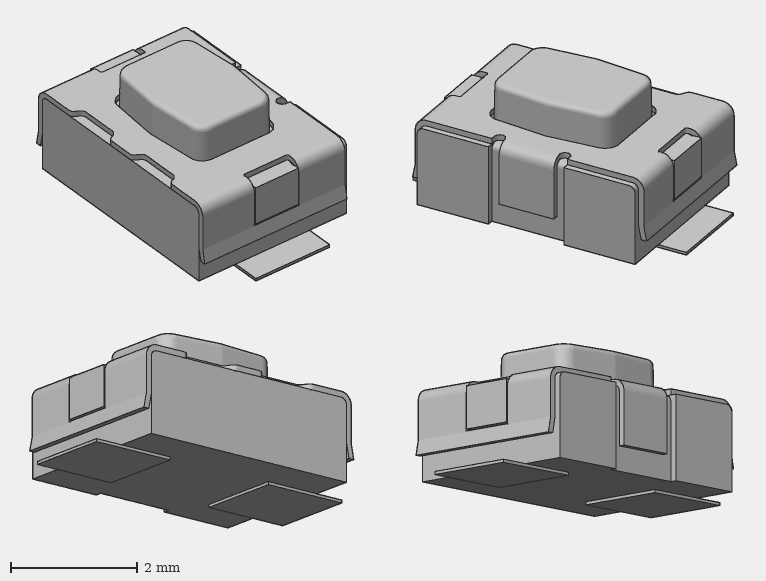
import cadquery as cq
import math

BASE_WIDTH = 3.98
BASE_DEPTH = 3.0
BASE_HEIGHT = 1.4
EDGE_RADIUS = 0.11
BACK_CHANNEL_WIDTH = 1.38
BACK_CHANNEL_DEPTH = 0.11
LATCH_WIDTH = 0.87
LATCH_REACH = 0.11
LATCH_BOTTOM = 0.7

SHEET = 0.1
LEG_KINK_Z = 0.655
LEG_END_Z = 0.41
LEG_FLARE = 0.05
WINDOW_WIDTH = 0.9
WINDOW_BOTTOM = 0.67
WINDOW_INNER_X = 1.805
WINDOW_CORNER_RADIUS = 0.03
BACK_TAB_WIDTH = 1.0
RELIEF_DEPTH = 0.18
NOTCH_SPACING = 1.54
NOTCH_DEPTH = 0.18
NOTCH_FLOOR_WIDTH = 0.78
NOTCH_SIDE_ANGLE = 60
NOTCH_RADIUS = 0.1
OPENING_CLEARANCE = 0.048

BUTTON_HALF_WIDTH = 1.108
BUTTON_HALF_DEPTH = 0.848
BUTTON_SIDE_ANGLE = 5
BUTTON_CORNER_RADIUS = 0.25
BUTTON_DRAFT = 1
BUTTON_TOP = 2.1
BUTTON_TOP_RADIUS = 0.1

TERMINAL_LENGTH = 1.5
TERMINAL_WIDTH = 1.5
TERMINAL_THICKNESS = 0.05
TERMINAL_OUTER_X = 2.5

SIDES = (-1, 1)
base_half_width = BASE_WIDTH / 2
base_front_y = -BASE_DEPTH / 2
base_back_y = BASE_DEPTH / 2
cover_top = BASE_HEIGHT + SHEET
channel_floor_y = base_back_y - BACK_CHANNEL_DEPTH
bend_radius = EDGE_RADIUS + SHEET
leg_outer_x = base_half_width + SHEET


def box(x_range, y_range, z_range):
    """Block between the given limits."""
    (x0, x1), (y0, y1), (z0, z1) = x_range, y_range, z_range
    return cq.Workplane("XY").box(x1 - x0, y1 - y0, z1 - z0, centered=False).translate((x0, y0, z0))


def six_sided_prism(clearance, bottom_z, height, draft=0):
    """Rounded prism with straight left and right sides and shallow peaks at front and back."""
    half_width = BUTTON_HALF_WIDTH + clearance
    peak_y = BUTTON_HALF_DEPTH + clearance
    corner_y = peak_y - half_width * math.tan(math.radians(BUTTON_SIDE_ANGLE))
    outline = [
        (half_width, -corner_y),
        (half_width, corner_y),
        (0, peak_y),
        (-half_width, corner_y),
        (-half_width, -corner_y),
        (0, -peak_y),
    ]
    profile = cq.Workplane("XY", origin=(0, 0, bottom_z)).polyline(outline).close()
    prism = profile.extrude(height, taper=draft)
    upright_edges = prism.faces("not |Z").edges("not #Z")
    return upright_edges.fillet(BUTTON_CORNER_RADIUS)


def make_base():
    base = box((-base_half_width, base_half_width), (base_front_y, base_back_y), (0, BASE_HEIGHT))
    base = base.edges("|Y and >Z").fillet(EDGE_RADIUS)

    half_channel = BACK_CHANNEL_WIDTH / 2
    channel = box((-half_channel, half_channel), (channel_floor_y, base_back_y), (0, BASE_HEIGHT))
    base = base.cut(channel)
    channel_top_edge = cq.selectors.NearestToPointSelector((0, channel_floor_y, BASE_HEIGHT))
    base = base.edges(channel_top_edge).fillet(EDGE_RADIUS)

    latch_outer_x = base_half_width + LATCH_REACH
    latches = box(
        (-latch_outer_x, latch_outer_x),
        (-LATCH_WIDTH / 2, LATCH_WIDTH / 2),
        (LATCH_BOTTOM, BASE_HEIGHT),
    )
    return base.union(latches)


def bend_middle(centre, radius):
    """Point halfway round a 90 degree bend from upward to outward."""
    diagonal = radius * math.sqrt(0.5)
    return (centre[0] + diagonal, centre[1] + diagonal)


def make_cover_half():
    """Right half of the sheet, bent down over the side of the base, with its leg flaring at the end."""
    bend = (base_half_width - EDGE_RADIUS, BASE_HEIGHT - EDGE_RADIUS)
    return (
        cq.Workplane("XZ", origin=(0, channel_floor_y, 0))
        .moveTo(0, cover_top)
        .lineTo(bend[0], cover_top)
        .threePointArc(bend_middle(bend, bend_radius), (leg_outer_x, bend[1]))
        .lineTo(leg_outer_x, LEG_KINK_Z)
        .lineTo(leg_outer_x + LEG_FLARE, LEG_END_Z)
        .lineTo(base_half_width + LEG_FLARE, LEG_END_Z)
        .lineTo(base_half_width, LEG_KINK_Z)
        .lineTo(base_half_width, bend[1])
        .threePointArc(bend_middle(bend, EDGE_RADIUS), (bend[0], BASE_HEIGHT))
        .lineTo(0, BASE_HEIGHT)
        .close()
        .extrude(channel_floor_y - base_front_y)
    )


def make_back_tab():
    """Strip that bends over the back edge of the base and runs down its channel."""
    bend = (channel_floor_y - EDGE_RADIUS, BASE_HEIGHT - EDGE_RADIUS)
    tab_outer_y = channel_floor_y + SHEET
    return (
        cq.Workplane("YZ", origin=(-BACK_TAB_WIDTH / 2, 0, 0))
        .moveTo(bend[0], cover_top)
        .threePointArc(bend_middle(bend, bend_radius), (tab_outer_y, bend[1]))
        .lineTo(tab_outer_y, LEG_END_Z)
        .lineTo(channel_floor_y, LEG_END_Z)
        .lineTo(channel_floor_y, bend[1])
        .threePointArc(bend_middle(bend, EDGE_RADIUS), (bend[0], BASE_HEIGHT))
        .close()
        .extrude(BACK_TAB_WIDTH)
    )


def make_relief(side):
    """Round-ended slot that frees one edge of the back tab from the cover."""
    inner_x = BACK_TAB_WIDTH / 2
    outer_x = BACK_CHANNEL_WIDTH / 2
    middle_x = (inner_x + outer_x) / 2
    tip_y = channel_floor_y - RELIEF_DEPTH
    end_y = tip_y + (outer_x - inner_x) / 2
    slot = (
        cq.Workplane("XY", origin=(0, 0, BASE_HEIGHT))
        .moveTo(side * inner_x, base_back_y)
        .lineTo(side * inner_x, end_y)
        .threePointArc((side * middle_x, tip_y), (side * outer_x, end_y))
        .lineTo(side * outer_x, base_back_y)
        .close()
        .extrude(SHEET)
    )
    return slot


def make_front_notch(middle_x):
    """Trapezoid notch in the front edge, with rounded floor and mouth corners.

    A wider flap in front of the cover gives the mouth its corners to round.
    """
    half_floor = NOTCH_FLOOR_WIDTH / 2
    half_mouth = half_floor + NOTCH_DEPTH / math.tan(math.radians(NOTCH_SIDE_ANGLE))
    floor_y = base_front_y + NOTCH_DEPTH
    flap_y = base_front_y - NOTCH_DEPTH
    flap_half = half_mouth + 2 * NOTCH_RADIUS
    notch = (
        cq.Workplane("XY", origin=(middle_x, 0, BASE_HEIGHT))
        .moveTo(-flap_half, flap_y)
        .lineTo(-flap_half, base_front_y)
        .lineTo(-half_mouth, base_front_y)
        .lineTo(-half_floor, floor_y)
        .lineTo(half_floor, floor_y)
        .lineTo(half_mouth, base_front_y)
        .lineTo(flap_half, base_front_y)
        .lineTo(flap_half, flap_y)
        .close()
        .extrude(SHEET)
    )
    return notch.edges("|Z and (not <Y)").fillet(NOTCH_RADIUS)


def make_window(side):
    """Opening through one bend and leg that clears the latch block."""
    window = box(
        (WINDOW_INNER_X, leg_outer_x + LEG_FLARE),
        (-WINDOW_WIDTH / 2, WINDOW_WIDTH / 2),
        (WINDOW_BOTTOM, cover_top),
    )
    window = window.edges("|Z and <X").fillet(WINDOW_CORNER_RADIUS)
    return window if side > 0 else window.mirror("YZ")


def make_cover():
    half = make_cover_half()
    cover = half.union(half.mirror("YZ"))
    for side in SIDES:
        cover = cover.cut(make_relief(side))
        cover = cover.cut(make_window(side))
        cover = cover.cut(make_front_notch(side * NOTCH_SPACING / 2))
    cover = cover.cut(six_sided_prism(OPENING_CLEARANCE, BASE_HEIGHT, SHEET))

    half_tab = BACK_TAB_WIDTH / 2
    bend_zone = box(
        (-half_tab, half_tab),
        (channel_floor_y - EDGE_RADIUS, channel_floor_y),
        (BASE_HEIGHT, cover_top),
    )
    return cover.cut(bend_zone).union(make_back_tab())


def make_button():
    button = six_sided_prism(0, BASE_HEIGHT, BUTTON_TOP - BASE_HEIGHT, BUTTON_DRAFT)
    return button.faces(">Z").edges().fillet(BUTTON_TOP_RADIUS)


def make_terminal(side):
    middle_x = side * (TERMINAL_OUTER_X - TERMINAL_LENGTH / 2)
    strip = cq.Workplane("XY").box(TERMINAL_LENGTH, TERMINAL_WIDTH, TERMINAL_THICKNESS)
    return strip.translate((middle_x, 0, -TERMINAL_THICKNESS / 2))


base = make_base()
cover = make_cover()
button = make_button()
terminals = [make_terminal(side) for side in SIDES]

result = cq.Compound.makeCompound(
    [base.val(), cover.val(), button.val(), *[terminal.val() for terminal in terminals]]
)